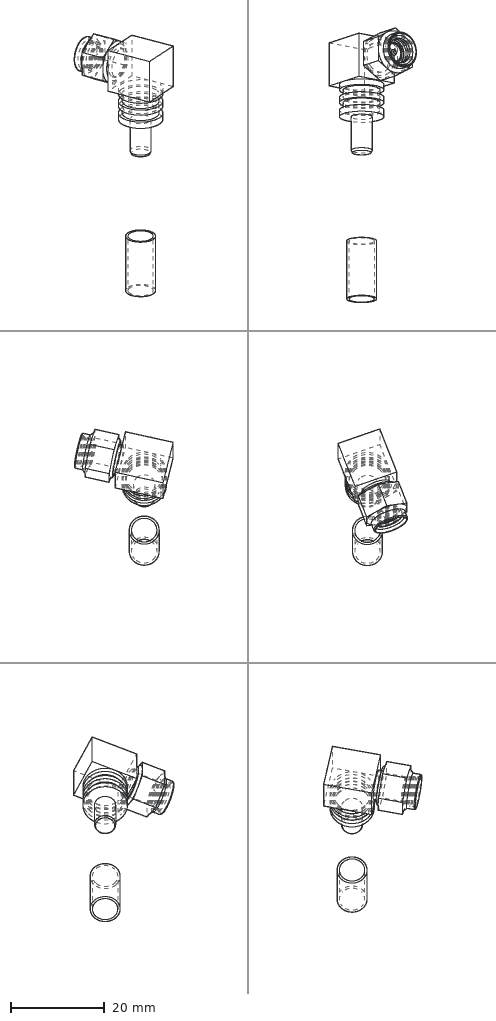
import cadquery as cq
import math

BLOCK_LENGTH = 10.45
BLOCK_WIDTH = 9.5

HEX_FLATS = 9.15
HEX_CORNERS = HEX_FLATS / math.cos(math.pi / 6)
COLLAR_RADIUS = 3.85
LIP_RADIUS = 3.65
LIP_LENGTH = 0.25
COLLAR_LENGTH = 1.85
HEX_START = COLLAR_LENGTH + HEX_FLATS / 2 - COLLAR_RADIUS
HEX_END = 7.85
REAR_CHAMFER = 0.6
NUT_LENGTH = HEX_END + REAR_CHAMFER
NECK_RADIUS = 3.2
BLOCK_START = 9.2

ENTRY_RADIUS = 3.5
ENTRY_DEPTH = 0.7
THREAD_ROOT_RADIUS = 3.2
THREAD_CREST_RADIUS = 2.7
THREAD_PITCH = 0.7
THREAD_COUNT = 4
THREAD_RUNOUT = 0.2
SOCKET_DEPTH = ENTRY_DEPTH + (THREAD_COUNT - 0.5) * THREAD_PITCH + THREAD_RUNOUT

TUBE_OUTER_RADIUS = 2.3
TUBE_INNER_RADIUS = 1.95
TUBE_CHAMFER = 0.1
TUBE_LENGTH = 0.2
PIN_RADIUS = 0.65
PIN_LENGTH = 0.45
PIN_CHAMFER = 0.3

FLANGE_RADIUS = BLOCK_WIDTH / 2
GROOVE_RADIUS = 3.95
FLANGE_HEIGHT = 1.2
GROOVE_HEIGHT = 1.6
END_FLANGE_HEIGHT = 1.5
STEM_DIAMETER = 4.5
STEM_RADIUS = STEM_DIAMETER / 2
STEM_LENGTH = 7.9
STEM_CHAMFER_HEIGHT = 0.5
STEM_CHAMFER_WIDTH = 0.25

FERRULE_RADIUS = 3.2
FERRULE_BORE_RADIUS = 2.7
FERRULE_LENGTH = 12.75
OVERALL_HEIGHT = 57.2

CABLE_AXIS_X = BLOCK_START + BLOCK_LENGTH / 2
FERRULE_BOTTOM = HEX_CORNERS / 2 - OVERALL_HEIGHT


def turned_about_x(points):
    """Solid of revolution about X from (x, radius) points."""
    return cq.Workplane("XY").polyline(points).close().revolve(360, (0, 0, 0), (1, 0, 0))


def x_cylinder(start, length, radius):
    """Solid cylinder along X from the given start."""
    return cq.Workplane("YZ", origin=(start, 0, 0)).circle(radius).extrude(length)


def make_block():
    return cq.Workplane("XY").box(BLOCK_LENGTH, BLOCK_WIDTH, BLOCK_WIDTH).translate((CABLE_AXIS_X, 0, 0))


def make_nut():
    """Round collar, hexagon with two corners on Z, and conical shoulders on both ends."""
    flat_radius = HEX_FLATS / 2
    turned = turned_about_x([
        (0, 0),
        (0, LIP_RADIUS),
        (LIP_LENGTH, COLLAR_RADIUS),
        (COLLAR_LENGTH, COLLAR_RADIUS),
        (HEX_START, flat_radius),
        (HEX_END, flat_radius),
        (NUT_LENGTH, flat_radius - REAR_CHAMFER),
        (NUT_LENGTH, 0),
    ])
    hexagon = (
        cq.Workplane("YZ", origin=(HEX_START, 0, 0))
        .transformed(rotate=(0, 0, 90))
        .polygon(6, HEX_CORNERS)
        .extrude(HEX_END - HEX_START)
    )
    neck = x_cylinder(NUT_LENGTH, BLOCK_START - NUT_LENGTH, NECK_RADIUS)
    return turned.union(hexagon).union(neck)


def make_socket():
    """Cavity of the nut: tapered entry, then ring-shaped V grooves down to a flat floor."""
    points = [(0, 0), (0, ENTRY_RADIUS)]
    for turn in range(THREAD_COUNT):
        root_x = ENTRY_DEPTH + turn * THREAD_PITCH
        points.append((root_x, THREAD_ROOT_RADIUS))
        points.append((root_x + THREAD_PITCH / 2, THREAD_CREST_RADIUS))
    points += [(SOCKET_DEPTH, THREAD_CREST_RADIUS), (SOCKET_DEPTH, 0)]
    return turned_about_x(points)


def make_contact_tube():
    """Thin tube with a chamfered outer rim; the socket floor inside it is the insulator face."""
    start = SOCKET_DEPTH - TUBE_LENGTH
    tube = x_cylinder(start, TUBE_LENGTH, TUBE_OUTER_RADIUS).faces("<X").chamfer(TUBE_CHAMFER)
    return tube.cut(x_cylinder(start, TUBE_LENGTH, TUBE_INNER_RADIUS))


def make_pin():
    pin = x_cylinder(SOCKET_DEPTH - PIN_LENGTH, PIN_LENGTH, PIN_RADIUS)
    return pin.faces("<X").chamfer(PIN_CHAMFER)


def make_spout():
    """Flanges, grooves and the chamfered stem, stacked downward from the block."""
    sections = [
        (FLANGE_RADIUS, FLANGE_HEIGHT),
        (GROOVE_RADIUS, GROOVE_HEIGHT),
        (FLANGE_RADIUS, FLANGE_HEIGHT),
        (GROOVE_RADIUS, GROOVE_HEIGHT),
        (FLANGE_RADIUS, END_FLANGE_HEIGHT),
        (STEM_RADIUS, STEM_LENGTH - STEM_CHAMFER_HEIGHT),
    ]
    z = -BLOCK_WIDTH / 2
    points = [(0, z)]
    for radius, height in sections:
        points.append((radius, z))
        z -= height
        points.append((radius, z))
    stem_end = z - STEM_CHAMFER_HEIGHT
    points += [(STEM_RADIUS - STEM_CHAMFER_WIDTH, stem_end), (0, stem_end)]
    profile = cq.Workplane("XZ").polyline(points).close()
    return profile.revolve(360, (0, 0, 0), (0, 1, 0)).translate((CABLE_AXIS_X, 0, 0))


def make_connector():
    outside = make_block().union(make_nut()).union(make_spout())
    return outside.cut(make_socket()).union(make_contact_tube()).union(make_pin())


def make_ferrule():
    return (
        cq.Workplane("XY", origin=(CABLE_AXIS_X, 0, FERRULE_BOTTOM))
        .circle(FERRULE_RADIUS)
        .circle(FERRULE_BORE_RADIUS)
        .extrude(FERRULE_LENGTH)
    )


connector = make_connector()
ferrule = make_ferrule()
result = cq.Compound.makeCompound([connector.val(), ferrule.val()])